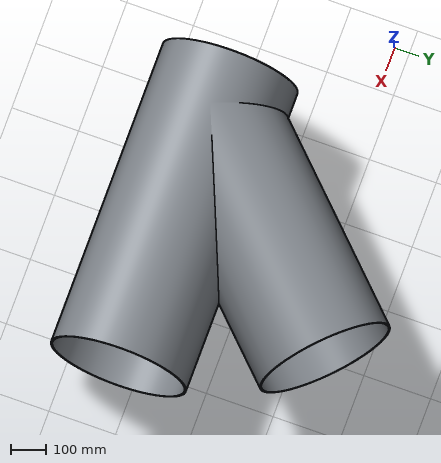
import cadquery as cq
import math

main_length = 927.0
outer_diameter = 406.0
inner_diameter = 397.0
junction_x = 166.0
branch_length = 762.0
branch_angle = math.radians(45)

branch_direction = cq.Vector(math.cos(branch_angle), math.sin(branch_angle), 0)


def main_cylinder(diameter):
    """Cylinder along X for the straight pipe."""
    return cq.Workplane("YZ").circle(diameter / 2).extrude(main_length)


def branch_cylinder(diameter):
    """Cylinder leaving the main axis at the branch angle."""
    plane = cq.Plane(origin=(junction_x, 0, 0), xDir=(0, 0, 1), normal=branch_direction)
    return cq.Workplane(plane).circle(diameter / 2).extrude(branch_length)


outer_body = main_cylinder(outer_diameter).union(branch_cylinder(outer_diameter))
bore = main_cylinder(inner_diameter).union(branch_cylinder(inner_diameter))
result = outer_body.cut(bore)